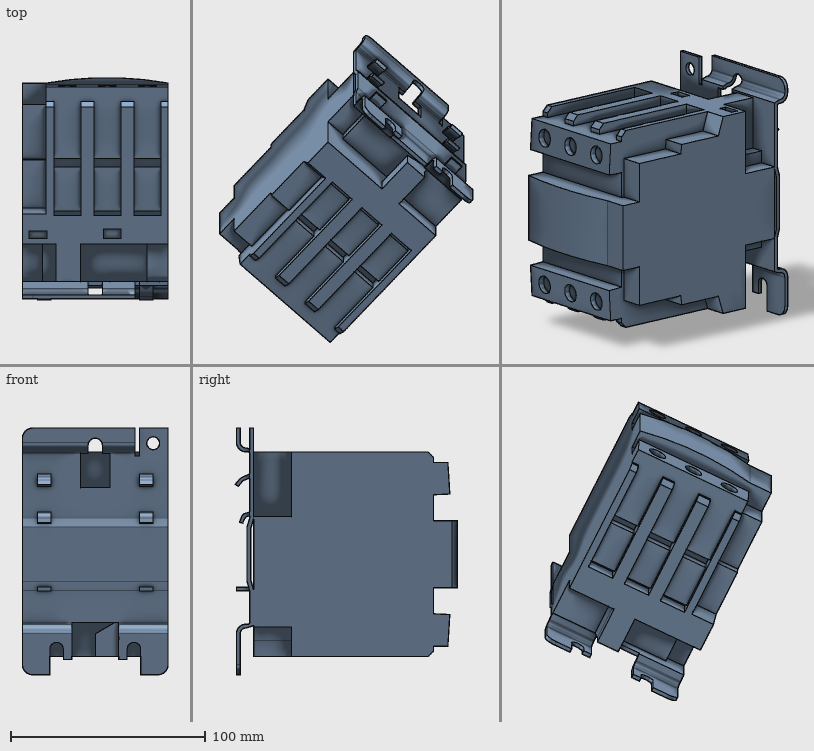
import cadquery as cq


width = 75.0
plate_height = 127.0

body_bottom = 9.4
body_height = 105.3
body_depth = 92.6
body_top = body_bottom + body_height
mid_z = body_bottom + body_height / 2
corner_chamfer = 2.9
overlap = 1.3

side_width = 12.3
terminal_top = body_top - 5.3
terminal_base = 93.0
terminal_depth_top = 100.0
terminal_depth_base = 101.0
terminal_root = terminal_base - 0.4
screw_diameter = 9.1
screw_depth = 3.8
screw_z = 101.2

shoulder_depth = 91.0
shoulder_low_z = 100.0
shoulder_high_z = 104.9
shoulder_step_y = 63.1
shoulder_step_run = 0.5
shoulder_end_y = 37.8
shoulder_slope_run = 3.2

pole_count = 3
pole_pitch = 20.6
channel_width = 13.8
first_channel_x = side_width + 4.0
channel_start_y = 33.9
clamp_start_y = 36.3
clamp_end_y = 58.8
clamp_gap_end_y = 63.2
gap_depth = 7.6

cover_height = 34.7
cover_depth = 102.1
cover_bulge = 2.8

pocket_depth = 6.4
pocket_start_y = 22.1
left_pocket_x = 3.4
left_pocket_length = 9.4
left_pocket_width = 4.0
right_pocket_x = 41.7
right_pocket_length = 9.0
right_pocket_width = 5.0

recess_depth = 19.4
recess_floor_low = 81.4
recess_floor_high = 87.8
recess_step_x = 10.3
left_recess_end_x = 17.3
right_recess_start_x = 29.8
right_recess_step_x = 64.3
right_recess_floor = 76.2
under_ceiling_high = 43.2
under_ceiling_low = 36.3
foot_x = 37.6
foot_shoulder_z = 21.1
foot_slope_end_x = 54.7
foot_slope_end_z = 31.4
foot_end_x = 49.5
foot_flare = 1.4
foot_flare_z = 17.8
foot_side_ceiling = 24.8

sheet = 2.0
fold_reach = 8.9
fold_radius = 5.0
root_radius = 0.8
heel_run = 3.5
heel_rise = 1.1
top_fold_z = body_top
bottom_fold_z = 26.2
panel_offset = 1.4
panel_top_z = 76.1
panel_bottom_z = 48.0
panel_ramp = 4.7
corner_radius = 5.5

slit_x = 58.0
slit_width = 2.2
slit_bottom_z = 112.6
hole_diameter = 6.5
hole_x = 67.3
hole_z = 119.1
window_width = 15.2
window_bottom_z = 96.3
window_top_z = top_fold_z - root_radius
key_width = 7.2
key_top_z = 121.7
leg_width = 25.5
leg_slot_x = 14.2
leg_slot_width = 6.9
leg_slot_top_z = 16.8
leg_stub_z = 7.9

clip_width = 7.1
clip_x = 7.7
hook_reach = 9.5
ledge_top_z = 45.2


def box(x, y, z):
    """Box between the given (low, high) limits along each axis."""
    size = (x[1] - x[0], y[1] - y[0], z[1] - z[0])
    return cq.Workplane("XY").box(*size, centered=False).translate((x[0], y[0], z[0]))


def side_profile(points, x_start, x_end):
    """Extrude a closed outline of (y, z) points along X."""
    outline = cq.Workplane("YZ", origin=(x_start, 0, 0)).polyline(points).close()
    return outline.extrude(x_end - x_start)


def with_lower_twin(upper):
    """Add the mirror image of a shape about the housing's middle height."""
    return upper.union(upper.mirror("XY", (0, 0, mid_z)))


def mirrored_across_width(left):
    """Add the mirror image of a shape about the middle of the width."""
    return left.union(left.mirror("YZ", (width / 2, 0, 0)))


def terminal_block():
    points = [
        (body_depth - overlap, terminal_top),
        (terminal_depth_top, terminal_top),
        (terminal_depth_base, terminal_base),
        (body_depth, terminal_root),
        (body_depth - overlap, terminal_root),
    ]
    block = side_profile(points, side_width, width)
    for pole in range(pole_count):
        screw_x = first_channel_x + channel_width / 2 + pole * pole_pitch
        screw_hole = (
            cq.Workplane("XZ", origin=(screw_x, terminal_depth_base, screw_z))
            .circle(screw_diameter / 2)
            .extrude(screw_depth)
        )
        block = block.cut(screw_hole)
    return block


def shoulder_cut():
    beyond_y = terminal_depth_base + overlap
    points = [
        (shoulder_end_y - shoulder_slope_run, body_top),
        (shoulder_end_y, shoulder_high_z),
        (shoulder_step_y - shoulder_step_run, shoulder_high_z),
        (shoulder_step_y, shoulder_low_z),
        (shoulder_depth, shoulder_low_z),
        (shoulder_depth, mid_z),
        (beyond_y, mid_z),
        (beyond_y, body_top),
    ]
    return side_profile(points, 0, side_width)


def channel_cut():
    channels = cq.Workplane("XY")
    floor_z = terminal_top - gap_depth
    for pole in range(pole_count):
        x_start = first_channel_x + pole * pole_pitch
        x_limits = (x_start, x_start + channel_width)
        open_channel = box(x_limits, (channel_start_y, body_depth), (terminal_top, body_top))
        near_gap = box(x_limits, (channel_start_y, clamp_start_y), (floor_z, terminal_top))
        far_gap = box(x_limits, (clamp_end_y, clamp_gap_end_y), (floor_z, terminal_top))
        channels = channels.union(open_channel).union(near_gap).union(far_gap)
    return channels


def front_cover():
    plan = (
        cq.Workplane("XY", origin=(0, 0, mid_z - cover_height / 2))
        .moveTo(0, shoulder_depth - overlap)
        .lineTo(0, cover_depth)
        .lineTo(side_width, cover_depth)
        .threePointArc(((side_width + width) / 2, cover_depth + cover_bulge), (width, cover_depth))
        .lineTo(width, shoulder_depth - overlap)
        .close()
    )
    return plan.extrude(cover_height)


def top_pocket(x_start, length, pocket_width):
    return box(
        (x_start, x_start + length),
        (pocket_start_y, pocket_start_y + pocket_width),
        (body_top - pocket_depth, body_top),
    )


def back_recesses():
    y_limits = (0, recess_depth)
    low = (recess_floor_low, body_top)
    high = (recess_floor_high, body_top)
    deep = (right_recess_floor, body_top)
    left_outer = box((0, recess_step_x), y_limits, low)
    left_inner = box((recess_step_x, left_recess_end_x), y_limits, high)
    right_inner = box((right_recess_start_x, right_recess_step_x), y_limits, deep)
    right_outer = box((right_recess_step_x, width), y_limits, low)
    under = (
        cq.Workplane("XZ")
        .polyline([
            (0, body_bottom),
            (0, under_ceiling_high),
            (recess_step_x, under_ceiling_high),
            (recess_step_x, under_ceiling_low),
            (foot_slope_end_x, under_ceiling_low),
            (foot_slope_end_x, foot_slope_end_z),
            (foot_x, foot_shoulder_z),
            (foot_x, body_bottom),
        ])
        .close()
        .extrude(-recess_depth)
    )
    under_right = (
        cq.Workplane("XZ")
        .polyline([
            (foot_end_x, body_bottom),
            (foot_end_x, foot_flare_z),
            (foot_end_x + foot_flare, foot_side_ceiling),
            (width, foot_side_ceiling),
            (width, body_bottom),
        ])
        .close()
        .extrude(-recess_depth)
    )
    upper = left_outer.union(left_inner).union(right_inner).union(right_outer)
    return upper.union(under).union(under_right)


def housing():
    core = box((0, width), (0, body_depth), (body_bottom, body_top))
    core = core.faces(">Y").edges("|X").chamfer(corner_chamfer)
    core = core.union(with_lower_twin(terminal_block()))
    core = core.cut(with_lower_twin(shoulder_cut()))
    core = core.cut(with_lower_twin(channel_cut()))
    core = core.union(front_cover()).cut(back_recesses())
    core = core.cut(top_pocket(left_pocket_x, left_pocket_length, left_pocket_width))
    return core.cut(top_pocket(right_pocket_x, right_pocket_length, right_pocket_width))


def folded_sheet(edge_z, fold_z, panel_z, x_start, x_end):
    """Sheet from a panel height to a free edge, with an S-shaped fold away from the housing.

    fold_z is the face of the fold on the side of the panel.
    """
    out = 1 if edge_z > fold_z else -1
    near = -sheet - root_radius
    far = -fold_reach + fold_radius
    inner_radius = fold_radius - sheet
    diagonal = 0.5 ** 0.5
    root_z = fold_z - out * root_radius
    bend_z = fold_z + out * fold_radius
    far_face_z = fold_z + out * sheet

    def on_bend(centre_y, centre_z, radius, toward_y, toward_z):
        """Middle point of a quarter bend."""
        reach = radius * diagonal
        return (centre_y + toward_y * reach, centre_z + toward_z * reach)

    return (
        cq.Workplane("YZ", origin=(x_start, 0, 0))
        .moveTo(0, panel_z)
        .lineTo(-sheet, panel_z)
        .lineTo(-sheet, root_z)
        .threePointArc(on_bend(near, root_z, root_radius, 1, out), (near, fold_z))
        .lineTo(far, fold_z)
        .threePointArc(on_bend(far, bend_z, fold_radius, -1, -out), (-fold_reach, bend_z))
        .lineTo(-fold_reach, edge_z)
        .lineTo(-fold_reach + sheet, edge_z)
        .lineTo(-fold_reach + sheet, bend_z)
        .threePointArc(on_bend(far, bend_z, inner_radius, -1, -out), (far, far_face_z))
        .lineTo(-heel_run, far_face_z)
        .lineTo(0, far_face_z - out * heel_rise)
        .close()
        .extrude(x_end - x_start)
    )


def raised_panel():
    """Middle of the plate, offset away from the housing between two ramps."""
    top = panel_top_z + panel_ramp
    bottom = panel_bottom_z - panel_ramp
    inner_lag = 0.6
    points = [
        (-sheet, top),
        (-sheet - panel_offset, panel_top_z),
        (-sheet - panel_offset, panel_bottom_z),
        (-sheet, bottom),
        (0, bottom),
        (0, bottom + inner_lag),
        (-panel_offset, panel_bottom_z + inner_lag),
        (-panel_offset, panel_top_z - inner_lag),
        (0, top - inner_lag),
        (0, top),
    ]
    return side_profile(points, 0, width)


def through_plate_slot(x_start, slot_width, bottom_z, top_z):
    """Upright slot with a round top, cut through every layer of the plate."""
    radius = slot_width / 2
    return (
        cq.Workplane("XZ")
        .moveTo(x_start, bottom_z)
        .lineTo(x_start, top_z - radius)
        .threePointArc((x_start + radius, top_z), (x_start + slot_width, top_z - radius))
        .lineTo(x_start + slot_width, bottom_z)
        .close()
        .extrude(fold_reach)
    )


def upper_plate():
    panel_z = panel_top_z + panel_ramp
    plate_y = (-sheet, 0)
    folded = folded_sheet(plate_height, top_fold_z, panel_z, 0, slit_x)
    folded = folded.edges("|Y and <X and >Z").fillet(corner_radius)
    ear_x = slit_x + slit_width
    joint = box((slit_x, ear_x), plate_y, (panel_z, slit_bottom_z))
    ear = box((ear_x, width), plate_y, (panel_z, plate_height))
    ear_hole = (
        cq.Workplane("XZ", origin=(hole_x, 0, hole_z)).circle(hole_diameter / 2).extrude(sheet)
    )
    window_x = (right_recess_start_x, right_recess_start_x + window_width)
    window = box(window_x, plate_y, (window_bottom_z, window_top_z))
    key_x = (width - key_width) / 2
    key_slot = through_plate_slot(key_x, key_width, window_top_z, key_top_z)
    return folded.union(joint).union(ear).cut(ear_hole).cut(window).cut(key_slot)


def lower_plate():
    panel_z = panel_bottom_z - panel_ramp
    leg = folded_sheet(0, bottom_fold_z, panel_z, 0, leg_width)
    leg = leg.edges("|Y and <X and <Z").fillet(corner_radius)
    leg = leg.cut(through_plate_slot(leg_slot_x, leg_slot_width, 0, leg_slot_top_z))
    stub_clearance = box((leg_slot_x, leg_width), (-fold_reach, 0), (0, leg_stub_z))
    leg = leg.cut(stub_clearance)
    bridge = box((leg_width, width - leg_width), (-sheet, 0), (bottom_fold_z + root_radius, panel_z))
    return mirrored_across_width(leg).union(bridge)


def hook(outer, inner):
    """Curved hook; outer and inner are its upper and lower faces, each a list of (y, z) points:
    root, bend start, bend middle, bend end and tip.
    """
    outer_root, outer_start, outer_middle, outer_end, outer_tip = outer
    inner_root, inner_start, inner_middle, inner_end, inner_tip = inner
    return (
        cq.Workplane("YZ", origin=(clip_x, 0, 0))
        .moveTo(*outer_root)
        .lineTo(*outer_start)
        .threePointArc(outer_middle, outer_end)
        .lineTo(*outer_tip)
        .lineTo(*inner_tip)
        .lineTo(*inner_end)
        .threePointArc(inner_middle, inner_start)
        .lineTo(*inner_root)
        .close()
        .extrude(clip_width)
    )


def rail_clips():
    """Two curved hooks and a straight ledge, one set near each side."""
    upper_hook = hook(
        [(-sheet, 103.4), (-5.5, 101.9), (-6.6, 101.2), (-7.6, 100.2), (-hook_reach, 98.0)],
        [(-sheet, 101.2), (-4.2, 100.3), (-5.3, 99.8), (-6.2, 98.9), (-7.9, 96.9)],
    )
    lower_hook = hook(
        [(-sheet, 83.8), (-3.7, 83.3), (-5.5, 82.4), (-6.5, 80.6), (-7.4, 78.5)],
        [(-sheet, 81.8), (-3.0, 81.5), (-4.2, 80.9), (-4.8, 79.8), (-5.6, 78.0)],
    )
    ledge = box(
        (clip_x, clip_x + clip_width),
        (-fold_reach, -sheet),
        (ledge_top_z - sheet, ledge_top_z),
    )
    return mirrored_across_width(upper_hook.union(lower_hook).union(ledge))


plate = upper_plate().union(raised_panel()).union(lower_plate()).union(rail_clips())
result = housing().union(plate)